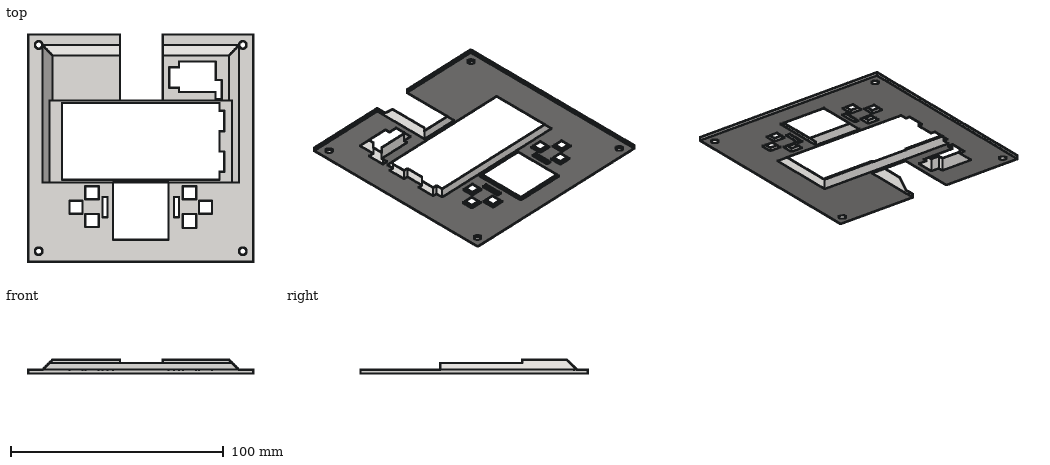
import cadquery as cq

plate_width = 106.0
plate_depth = 107.0
plate_thickness = 1.8
centre_x = plate_width / 2

display_top = 5.0
total_height = 6.55
side_slope_run = total_height - plate_thickness
back_slope_run = 4.9
housing_side_inset = 6.8
housing_back_inset = 5.1
housing_front_y = 37.4
step_y = 76.0

screw_diameter = 3.4
screw_inset = 5.0

notch_left = 43.3
notch_width = 20.0

display_left = 16.0
display_right = 90.0
display_front = 38.7
display_back = 74.6
tab_reach = 2.25
tab_length = 9.5
tab_front_offsets = (3.7, 22.8)

connector_outline = [
    (71.0, 94.2),
    (88.2, 94.2),
    (88.2, 85.5),
    (91.0, 85.5),
    (91.0, 76.5),
    (88.2, 76.5),
    (88.2, 80.0),
    (71.0, 80.0),
    (71.0, 82.0),
    (66.5, 82.0),
    (66.5, 91.5),
    (71.0, 91.5),
]

keypad_width = 26.0
keypad_front = 10.5

button_width = 6.2
button_height = 6.0
inner_button_offset = 22.95
outer_button_offset = 30.45
back_button_y = 32.5
middle_button_y = 25.7
front_button_y = 19.4
right_front_button_height = 6.4
right_front_button_y = 19.2
slot_width = 2.2
slot_length = 9.5
slot_offset = 16.8
slot_y = 25.75


def through_box(left, right, front, back):
    """Rectangular cutter running through the full height of the part."""
    return cq.Workplane("XY").box(right - left, back - front, total_height, centered=False).translate(
        (left, front, 0)
    )


def centred_window(x, y, width, height):
    """Through cutter given by its centre and size."""
    return through_box(x - width / 2, x + width / 2, y - height / 2, y + height / 2)


def make_plate():
    plate = cq.Workplane("XY").box(plate_width, plate_depth, plate_thickness, centered=False)
    corners = [
        (x, y)
        for x in (screw_inset, plate_width - screw_inset)
        for y in (screw_inset, plate_depth - screw_inset)
    ]
    holes = cq.Workplane("XY").pushPoints(corners).circle(screw_diameter / 2).extrude(plate_thickness)
    return plate.cut(holes)


def make_housing():
    """Block sloped on three sides, lower over the display than at the back."""
    left = housing_side_inset
    right = plate_width - housing_side_inset
    back = plate_depth - housing_back_inset
    side_slopes = (
        cq.Workplane("XZ")
        .moveTo(left, plate_thickness)
        .lineTo(right, plate_thickness)
        .lineTo(right - side_slope_run, total_height)
        .lineTo(left + side_slope_run, total_height)
        .close()
        .extrude(-plate_depth)
    )
    stepped_profile = (
        cq.Workplane("YZ")
        .moveTo(housing_front_y, plate_thickness)
        .lineTo(back, plate_thickness)
        .lineTo(back - back_slope_run, total_height)
        .lineTo(step_y, total_height)
        .lineTo(step_y, display_top)
        .lineTo(housing_front_y, display_top)
        .close()
        .extrude(plate_width)
    )
    return side_slopes.intersect(stepped_profile)


def display_window():
    window = through_box(display_left, display_right, display_front, display_back)
    for offset in tab_front_offsets:
        tab_front = display_front + offset
        tab = through_box(display_left, display_right + tab_reach, tab_front, tab_front + tab_length)
        window = window.union(tab)
    return window


def button_windows(side, front_y, front_height):
    """Three buttons and a slot; side is -1 for left of centre, 1 for right."""
    inner_x = centre_x + side * inner_button_offset
    outer_x = centre_x + side * outer_button_offset
    slot_x = centre_x + side * slot_offset
    return [
        centred_window(inner_x, back_button_y, button_width, button_height),
        centred_window(inner_x, front_y, button_width, front_height),
        centred_window(outer_x, middle_button_y, button_height, button_height),
        centred_window(slot_x, slot_y, slot_width, slot_length),
    ]


cutters = [
    through_box(notch_left, notch_left + notch_width, step_y, plate_depth),
    display_window(),
    cq.Workplane("XY").polyline(connector_outline).close().extrude(total_height),
    through_box(centre_x - keypad_width / 2, centre_x + keypad_width / 2, keypad_front, housing_front_y),
]
cutters += button_windows(-1, front_button_y, button_height)
cutters += button_windows(1, right_front_button_y, right_front_button_height)

result = make_plate().union(make_housing())
for cutter in cutters:
    result = result.cut(cutter)